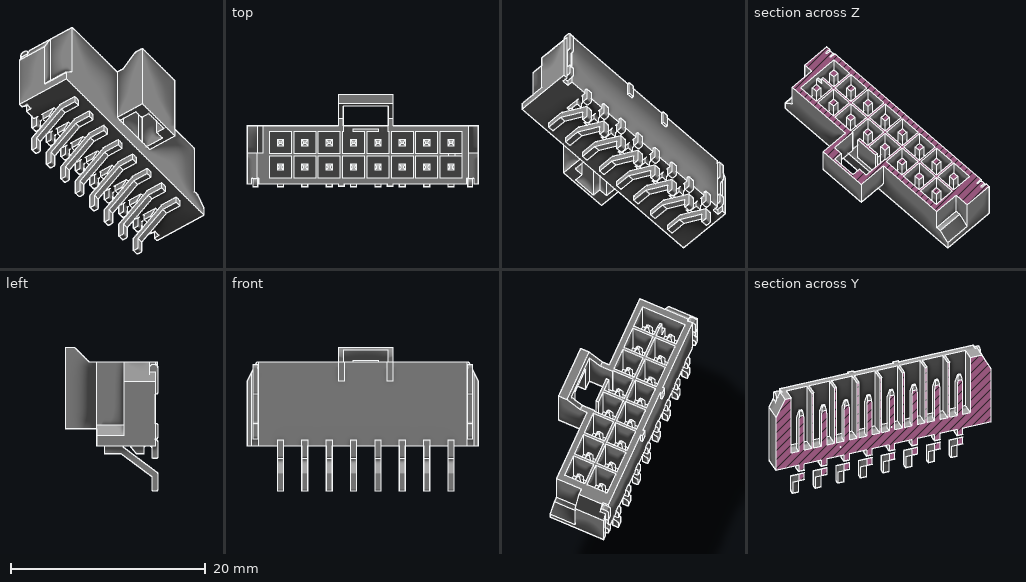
import cadquery as cq


overall_width = 23.75
housing_depth = 6.0
housing_height = 8.65
core_width = 21.13
core_center = 0.3
core_left = core_center - core_width / 2
core_right = core_center + core_width / 2

ear_depth = 3.2
ear_slope_width = overall_width / 2 - core_right
ear_slope_height = 2.0
flange_depth = housing_depth - ear_depth
flange_edge_height = 1.07
flange_slope = 1.1
flange_height = flange_edge_height + flange_slope
right_flange_ledge = 0.07

columns = 8
first_to_last_column = 17.5
pitch = first_to_last_column / (columns - 1)
cell_size = 2.25
cell_floor = 1.78
front_row_y = 1.75
row_positions = (front_row_y, front_row_y + pitch)
column_positions = [core_center + (i - (columns - 1) / 2) * pitch for i in range(columns)]
partition = pitch - cell_size
partition_y = front_row_y + pitch / 2
cells_back = row_positions[1] + cell_size / 2

notch_slope = 0.66
notch_slope_start = 8.8
notch_floor = housing_height / 2
notch_end = column_positions[-1] + cell_size / 2

tower_width = 5.6
tower_back = 9.2
tower_bottom = cell_floor
tower_top = 10.14
tower_rise = tower_top - housing_height
tower_slope_start = 6.77
tower_slope_end = tower_slope_start + tower_rise
tower_inner_width = 4.58
tower_inner_back = 8.0
window_width = 2.6
window_top = 8.8
window_depth = 0.93
stub_thickness = 0.28

rib_width = 0.62
rib_thickness = 0.21
rib_height = 1.97
rib_offset = (tower_width - rib_width) / 2

pin_width = 0.65
pin_tip_width = 0.28
pin_tip_depth = 0.2
pin_tip_length = 0.95
pin_top = 6.65
tail_front = -0.28
tail_back = tail_front + pin_width
tail_tip_radius = 0.17
bend_radius = 0.21
arm_bottom = -0.78
back_tail_bottom = -4.6
front_tail_bottom = -1.25

groove_inner = 10.68
groove_outer = 11.4
groove_depth = 0.6
clip_width = 0.5
clip_x = 11.02
clip_top = 8.38
clip_bottom = 0.71
clip_hook_bottom = 5.35
clip_foot_top = 2.33
clip_strip_front = 0.1
clip_top_radius = 0.35
clip_foot_radius = 0.25
clip_step_radius = 0.17


def block(x0, x1, y0, y1, z0, z1):
    """Box between two opposite corners."""
    return cq.Workplane("XY").box(x1 - x0, y1 - y0, z1 - z0, centered=False).translate((x0, y0, z0))


def side_profile(points, width):
    """Outline in the Y-Z plane, extruded by width and centred on X = 0."""
    return cq.Workplane("YZ").polyline(points).close().extrude(width / 2, both=True)


def front_profile(points, y0, y1):
    """Outline in the X-Z plane, extruded from y0 to y1."""
    outline = cq.Workplane("XZ", origin=(0, y0, 0)).polyline(points).close()
    return outline.extrude(y0 - y1)


def round_edge(solid, y, z, radius):
    """Fillet the edge along X that passes through (y, z)."""
    return solid.edges(cq.selectors.NearestToPointSelector((0, y, z))).fillet(radius)


def housing_shell():
    half = overall_width / 2
    slope_start = half - ear_slope_width
    ears = front_profile(
        [
            (-half, 0),
            (half, 0),
            (half, housing_height - ear_slope_height),
            (slope_start, housing_height),
            (-slope_start, housing_height),
            (-half, housing_height - ear_slope_height),
        ],
        0,
        ear_depth,
    )
    right_foot = half - right_flange_ledge
    flange = front_profile(
        [
            (-half, 0),
            (half, 0),
            (half, flange_edge_height),
            (right_foot, flange_edge_height),
            (core_right, flange_edge_height + right_foot - core_right),
            (core_left, flange_height),
            (-half + flange_slope, flange_height),
            (-half, flange_edge_height),
        ],
        ear_depth,
        ear_depth + flange_depth,
    )
    core = block(core_left, core_right, ear_depth, housing_depth, 0, housing_height)
    return ears.union(flange).union(core)


def latch_tower():
    tower = side_profile(
        [
            (housing_depth, tower_bottom),
            (tower_back, tower_bottom),
            (tower_back, tower_top),
            (tower_slope_end, tower_top),
            (tower_slope_start, housing_height),
            (housing_depth, housing_height),
        ],
        tower_width,
    )
    half = tower_inner_width / 2
    hollow = block(-half, half, housing_depth, tower_inner_back, tower_bottom, tower_top)
    window = block(
        -window_width / 2,
        window_width / 2,
        tower_inner_back,
        tower_inner_back + window_depth,
        tower_bottom,
        window_top,
    )
    return tower.cut(hollow).cut(window).translate((core_center, 0, 0))


def wall_opening():
    """Gap in the rear wall between the cells and the tower, leaving the stub wall standing."""
    half = tower_inner_width / 2
    gap = block(-half, half, cells_back, housing_depth, cell_floor, housing_height)
    half = window_width / 2
    stub = block(-half, half, cells_back, cells_back + stub_thickness, cell_floor, housing_height)
    return gap.cut(stub).translate((core_center, 0, 0))


def cells():
    centers = [(x, y) for x in column_positions for y in row_positions]
    sketch = cq.Workplane("XY", origin=(0, 0, cell_floor)).pushPoints(centers)
    return sketch.rect(cell_size, cell_size).extrude(housing_height - cell_floor)


def partition_notch():
    slope_end = notch_slope_start + notch_slope
    return front_profile(
        [
            (notch_slope_start, housing_height),
            (slope_end, housing_height - notch_slope),
            (slope_end, notch_floor),
            (notch_end, notch_floor),
            (notch_end, housing_height),
        ],
        partition_y - partition / 2,
        partition_y + partition / 2,
    )


def guide_rib(side):
    x = core_center + side * rib_offset
    return block(
        x - rib_width / 2,
        x + rib_width / 2,
        -rib_thickness,
        0,
        housing_height - rib_height,
        housing_height,
    )


def contact_blade(y):
    """Upright part of a contact with a tapered tip, rooted in the cell floor."""
    shaft = (
        cq.Workplane("XY", origin=(0, y, cell_floor))
        .rect(pin_width, pin_width)
        .extrude(pin_top - pin_tip_length - cell_floor)
    )
    return (
        shaft.faces(">Z")
        .workplane()
        .rect(pin_width, pin_width)
        .workplane(offset=pin_tip_length)
        .rect(pin_tip_width, pin_tip_depth)
        .loft()
    )


def back_tail():
    """Tail of the rear row: an arm below the housing, a sloping run and a vertical end."""
    arm_back = 5.22
    slope_foot = (3.51, arm_bottom)
    slope_head = (3.3, -0.07)
    outer_bend = (tail_front, -2.75)
    inner_bend = (tail_back, -3.13)
    tail = side_profile(
        [
            (arm_back, 0),
            (arm_back, arm_bottom),
            slope_foot,
            inner_bend,
            (tail_back, back_tail_bottom),
            (tail_front, back_tail_bottom),
            outer_bend,
            slope_head,
            (slope_head[0], 0),
        ],
        pin_width,
    )
    tail = round_edge(tail, *outer_bend, bend_radius)
    for y in (tail_front, tail_back):
        tail = round_edge(tail, y, back_tail_bottom, tail_tip_radius)
    return tail


def front_tail():
    """Tail of the front row: a knee below the housing, a bridge and a short vertical end."""
    knee_front = 1.15
    knee_foot = 1.95
    knee_back = 2.59
    bridge_top = pin_width
    tail = side_profile(
        [
            (tail_front, bridge_top),
            (tail_front, front_tail_bottom),
            (tail_back, front_tail_bottom),
            (tail_back, 0),
            (knee_front, 0),
            (knee_front, arm_bottom),
            (knee_foot, arm_bottom),
            (knee_back, 0),
            (knee_back, bridge_top),
        ],
        pin_width,
    )
    tail = round_edge(tail, tail_front, bridge_top, bend_radius)
    for y in (tail_back, knee_front):
        tail = round_edge(tail, y, 0, tail_tip_radius)
    for y in (tail_front, tail_back):
        tail = round_edge(tail, y, front_tail_bottom, tail_tip_radius)
    return tail


def ear_groove():
    return block(groove_inner, groove_outer, 0, groove_depth, 0, housing_height)


def hold_down_clip():
    """Clip with a rounded hook at the top, a recessed strip and a foot at the bottom."""
    clip = side_profile(
        [
            (groove_depth, clip_bottom),
            (tail_front, clip_bottom),
            (tail_front, clip_foot_top),
            (clip_strip_front, clip_foot_top),
            (clip_strip_front, clip_hook_bottom),
            (tail_front, clip_hook_bottom),
            (tail_front, clip_top),
            (groove_depth, clip_top),
        ],
        clip_width,
    )
    for y in (tail_front, groove_depth):
        clip = round_edge(clip, y, clip_top, clip_top_radius)
    for y in (tail_front, clip_strip_front):
        for z in (clip_foot_top, clip_hook_bottom):
            clip = round_edge(clip, y, z, clip_step_radius)
    clip = round_edge(clip, tail_front, clip_bottom, clip_foot_radius)
    return clip


result = housing_shell().union(latch_tower())
result = result.cut(wall_opening()).cut(cells()).cut(partition_notch())

right_groove = ear_groove()
right_clip = hold_down_clip().translate((clip_x, 0, 0))
for groove in (right_groove, right_groove.mirror("YZ")):
    result = result.cut(groove)
for clip in (right_clip, right_clip.mirror("YZ")):
    result = result.union(clip)
for side in (-1, 1):
    result = result.union(guide_rib(side))

contact_parts = [contact_blade(y) for y in row_positions] + [front_tail(), back_tail()]
for x in column_positions:
    for contact_part in contact_parts:
        result = result.union(contact_part.translate((x, 0, 0)))